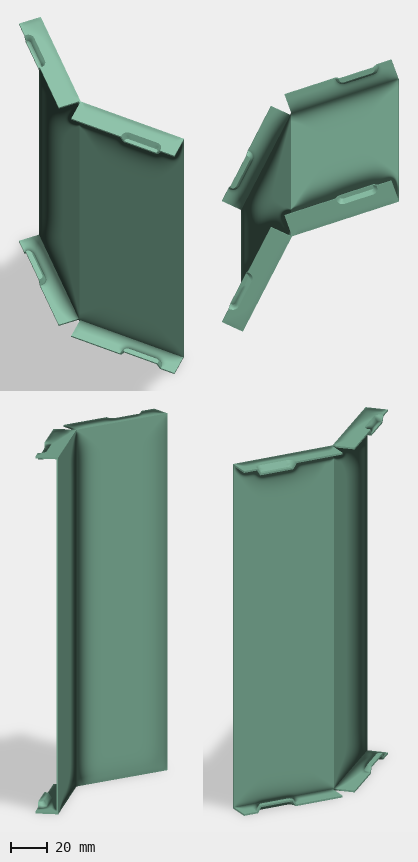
import cadquery as cq
import math

height = 200.0
first_wing_length = 61.0
second_wing_length = 61.5
flange_depth = 12.5
sheet = 1.0
flange_setback = 0.5
bend_angle = 45.0

dent_end_margin = 8.5
dent_width = 23.2
dent_reach = 4.2
dent_corner = 3.5
dent_depth = 3.2
dent_slope = 32.0
dent_skin = sheet / math.cos(math.radians(dent_slope))


def tapered_dent(center_x, margin, depth):
    """Rounded tapered plug sunk from the top face, centred on the flange's front edge."""
    outline = (
        cq.Sketch()
        .rect(dent_width + 2 * margin, 2 * (dent_reach + margin))
        .vertices()
        .fillet(dent_corner + margin)
    )
    return (
        cq.Workplane("XY", origin=(center_x, -flange_depth, height / 2))
        .placeSketch(outline)
        .extrude(-depth, taper=dent_slope)
    )


def dented_flange(start_x, length, dent_x):
    """Top flange running along X, with its dent wall and floor one sheet thick."""
    plate = (
        cq.Workplane("XY", origin=(start_x, -flange_depth, height / 2 - sheet))
        .rect(length, flange_depth, centered=False)
        .extrude(sheet)
    )
    clip = (
        cq.Workplane("XY", origin=(start_x, -flange_depth, 0))
        .rect(length, flange_depth, centered=False)
        .extrude(height / 2)
    )
    shell = tapered_dent(dent_x, dent_skin, dent_depth + sheet).intersect(clip)
    return plate.union(shell).cut(tapered_dent(dent_x, 0, dent_depth))


def flange_pair(start_x, length, dent_x):
    top = dented_flange(start_x, length, dent_x)
    return top.union(top.mirror("XY"))


def turn_to_second_wing(body):
    return body.rotate((0, 0, 0), (0, 0, 1), bend_angle)


def folded_web():
    """Upright sheet with its back edge folded at the origin and its front edge mitred."""
    angle = math.radians(bend_angle)
    along = (math.cos(angle), math.sin(angle))
    front = (math.sin(angle), -math.cos(angle))
    end = (second_wing_length * along[0], second_wing_length * along[1])
    return (
        cq.Workplane("XY", origin=(0, 0, -height / 2))
        .moveTo(-first_wing_length, 0)
        .lineTo(0, 0)
        .lineTo(*end)
        .lineTo(end[0] + sheet * front[0], end[1] + sheet * front[1])
        .lineTo(sheet * math.tan(angle / 2), -sheet)
        .lineTo(-first_wing_length, -sheet)
        .close()
        .extrude(height)
    )


dent_center = dent_end_margin + dent_width / 2
first_flanges = flange_pair(
    -first_wing_length, first_wing_length - flange_setback, dent_center - first_wing_length
)
second_flanges = turn_to_second_wing(flange_pair(0, second_wing_length, second_wing_length - dent_center))

result = folded_web().union(first_flanges).union(second_flanges)